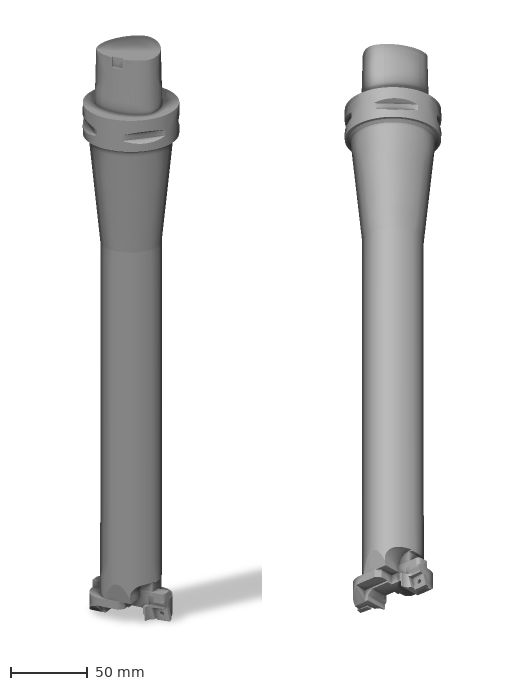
import cadquery as cq
import math

TOTAL_LENGTH = 402.0

SHANK_LENGTH = 38.0
SHANK_WIDTH = 44.2
LOBE_OFFSET = 1.5
SHANK_TAPER = 1 / 20
LOBE_COUNT = 3
FLAT_HALF_ANGLE = 22.5
POINTS_PER_FACE = 12
KEYWAY_WIDTH = 8.0
KEYWAY_HEIGHT = 7.0
KEYWAY_DEPTH = 1.5

FLANGE_DIAMETER = 63.0
FLANGE_HEIGHT = 22.0
GROOVE_COUNT = 4
GROOVE_DEPTH = 3.5
GROOVE_FLOOR_WIDTH = 4.0
GROOVE_MOUTH_WIDTH = 8.5
GROOVE_BELOW_FLANGE_TOP = 12.5

NECK_STEP_DIAMETER = 58.5
NECK_DIAMETER = 55.5
NECK_CHAMFER_HEIGHT = 2.0
NECK_BOTTOM_Z = 265.2
BAR_DIAMETER = 40.0
BAR_END_Z = 15.3

SIDE_FLAT_TOP_Z = 28.5
SIDE_FLAT_DEPTH = 3.0
END_NOTCH_TOP_Z = 27.7
END_NOTCH_X = 17.5
FLUTE_WALL_X = 9.0
FLUTE_FLOOR_Y = 3.5
FLUTE_TOP_Z = 28.5
FLUTE_RADIUS = 8.0

SLIDE_HALF_WIDTH = 17.5
SLIDE_OUTER_X = 26.5
SLIDE_BOTTOM_Z = 1.2
SLIDE_CORNER_RADIUS = 13.0
SLIDE_TOP_Z = 20.5
SLIDE_LEADING_Y = 4.5
SLIDE_OVERREACH = 3.0
SLIDE_END_CHAMFER = 3.2
ARCH_TOP_Z = 8.5
ARCH_HALF_WIDTH = 11.0
LEG_INNER_X = 14.5
LEG_SHOULDER_Z = 5.0
SIDE_SLOPE_TOP_Z = 9.2
UNDERCUT_WALL_X = 17.0
UNDERCUT_WALL_Y = 8.5
UNDERCUT_TOP_Z = 9.5
LEG_BOTTOM_HALF_WIDTH = 8.0
NIB_INNER_X = 13.3
NIB_LEADING_Y = 8.5
CHIP_POCKET_WALL_X = 15.3
CHIP_POCKET_FLOOR_Y = 3.2
CHIP_POCKET_RADIUS = 5.0
CHIP_POCKET_TOP_Z = 11.3
OUTER_ROOF_TOP_Z = 13.5
INNER_ROOF_TOP_Z = 17.5
INNER_ROOF_WIDTH = 3.5
HEAD_CORNER_RADIUS = 3.0

INSERT_THICKNESS = 3.5
INSERT_EDGE = 9.5
INSERT_ANGLE = 80.0
INSERT_TILT = 3.0
INSERT_CLEARANCE = 7.0
INSERT_HOLE_DIAMETER = 3.2
INSERT_INNER_X = 19.3
RAKE_Y = 0.5

FLANGE_TOP_Z = TOTAL_LENGTH - SHANK_LENGTH
FLANGE_BOTTOM_Z = FLANGE_TOP_Z - FLANGE_HEIGHT
FLANGE_RADIUS = FLANGE_DIAMETER / 2
BAR_RADIUS = BAR_DIAMETER / 2
BOTTOM_EDGE_ANGLE = math.radians(INSERT_TILT)
SIDE_EDGE_ANGLE = math.radians(INSERT_TILT + 180 - INSERT_ANGLE)
OVERSIZE = 40.0


def block(x_range, y_range, z_range):
    """A box given by its limits along each axis."""
    limits = (x_range, y_range, z_range)
    sizes = [high - low for low, high in limits]
    return cq.Workplane("XY").box(*sizes, centered=False).translate([low for low, high in limits])


def turned(shape):
    """The same shape on the opposite side of the tool axis."""
    return shape.rotate((0, 0, 0), (0, 0, 1), 180)


def trilobe_point(angle, mean_radius):
    """Point of a constant-width trilobe where the outward normal is at `angle`; one lobe on +Y."""
    phase = LOBE_COUNT * (angle - math.pi / 2)
    support = mean_radius + LOBE_OFFSET * math.cos(phase)
    slope = -LOBE_COUNT * LOBE_OFFSET * math.sin(phase)
    return (
        support * math.cos(angle) - slope * math.sin(angle),
        support * math.sin(angle) + slope * math.cos(angle),
    )


def trilobe_wire(width, z):
    """Closed outline of three flats and three lobes."""
    pitch = 360 / LOBE_COUNT
    half_flat = FLAT_HALF_ANGLE
    edges = []
    for index in range(LOBE_COUNT):
        flat_middle = index * pitch - 90
        for start, end in ((-half_flat, half_flat), (half_flat, pitch - half_flat)):
            points = []
            for step in range(POINTS_PER_FACE + 1):
                angle = flat_middle + start + (end - start) * step / POINTS_PER_FACE
                x, y = trilobe_point(math.radians(angle), width / 2)
                points.append(cq.Vector(x, y, z))
            edges.append(cq.Edge.makeSpline(points))
    return cq.Wire.assembleEdges(edges)


def make_shank():
    top_width = SHANK_WIDTH - SHANK_LENGTH * SHANK_TAPER
    wires = [trilobe_wire(SHANK_WIDTH, FLANGE_TOP_Z), trilobe_wire(top_width, TOTAL_LENGTH)]
    shank = cq.Workplane(cq.Solid.makeLoft(wires, True))
    keyway_floor_y = -(top_width / 2 - LOBE_OFFSET - KEYWAY_DEPTH)
    keyway = block(
        (-KEYWAY_WIDTH / 2, KEYWAY_WIDTH / 2),
        (-OVERSIZE, keyway_floor_y),
        (TOTAL_LENGTH - KEYWAY_HEIGHT, TOTAL_LENGTH),
    )
    return shank.cut(keyway)


def make_turned_body():
    """Flange, tapering neck and cylindrical bar."""
    neck_top_z = FLANGE_BOTTOM_Z - NECK_CHAMFER_HEIGHT
    outline = [
        (0, BAR_END_Z),
        (BAR_RADIUS, BAR_END_Z),
        (BAR_RADIUS, NECK_BOTTOM_Z),
        (NECK_DIAMETER / 2, neck_top_z),
        (NECK_STEP_DIAMETER / 2, FLANGE_BOTTOM_Z),
        (FLANGE_RADIUS, FLANGE_BOTTOM_Z),
        (FLANGE_RADIUS, FLANGE_TOP_Z),
        (0, FLANGE_TOP_Z),
    ]
    return cq.Workplane("XZ").polyline(outline).close().revolve(360, (0, 0, 0), (0, 1, 0))


def make_gripper_groove():
    """Straight groove with sloping sides, across the +X side of the flange."""
    floor_x = FLANGE_RADIUS - GROOVE_DEPTH
    middle_z = FLANGE_TOP_Z - GROOVE_BELOW_FLANGE_TOP
    outline = [
        (floor_x, middle_z - GROOVE_FLOOR_WIDTH / 2),
        (FLANGE_RADIUS, middle_z - GROOVE_MOUTH_WIDTH / 2),
        (FLANGE_RADIUS, middle_z + GROOVE_MOUTH_WIDTH / 2),
        (floor_x, middle_z + GROOVE_FLOOR_WIDTH / 2),
    ]
    return cq.Workplane("XZ").polyline(outline).close().extrude(FLANGE_RADIUS, both=True)


def make_side_flat():
    """Wedge that leaves a tilted flat on the -Y side of the bar end."""
    outline = [
        (-BAR_RADIUS, SIDE_FLAT_TOP_Z),
        (-BAR_RADIUS + SIDE_FLAT_DEPTH, BAR_END_Z),
        (-BAR_RADIUS, BAR_END_Z),
    ]
    return cq.Workplane("YZ").polyline(outline).close().extrude(BAR_RADIUS, both=True)


def make_flute():
    """Round-topped flute in the leading quarter of the bar end."""
    arc_bottom_z = FLUTE_TOP_Z - FLUTE_RADIUS
    arc_end_x = FLUTE_WALL_X + FLUTE_RADIUS
    return (
        cq.Workplane("XZ", origin=(0, -FLUTE_FLOOR_Y, 0))
        .moveTo(FLUTE_WALL_X, BAR_END_Z)
        .lineTo(FLUTE_WALL_X, arc_bottom_z)
        .radiusArc((arc_end_x, FLUTE_TOP_Z), FLUTE_RADIUS)
        .lineTo(OVERSIZE, FLUTE_TOP_Z)
        .lineTo(OVERSIZE, BAR_END_Z)
        .close()
        .extrude(OVERSIZE)
    )


def make_bar():
    bar = make_turned_body().union(make_shank())
    for index in range(GROOVE_COUNT):
        angle = (index + 0.5) * 360 / GROOVE_COUNT
        bar = bar.cut(make_gripper_groove().rotate((0, 0, 0), (0, 0, 1), angle))
    end_notch = block((END_NOTCH_X, OVERSIZE), (-OVERSIZE, OVERSIZE), (BAR_END_Z, END_NOTCH_TOP_Z))
    for cutter in (make_side_flat(), make_flute(), end_notch):
        bar = bar.cut(cutter).cut(turned(cutter))
    return bar


def make_slide_base():
    """Plate under the bar with its leg: arched underneath, sloping at both sides, and undercut
    along the trailing side."""
    arch_profile = [
        (-SLIDE_OVERREACH, BAR_END_Z),
        (-SLIDE_OVERREACH, ARCH_TOP_Z),
        (ARCH_HALF_WIDTH, ARCH_TOP_Z),
        (LEG_INNER_X, LEG_SHOULDER_Z),
        (LEG_INNER_X, SLIDE_BOTTOM_Z),
        (SLIDE_OUTER_X, SLIDE_BOTTOM_Z),
        (SLIDE_OUTER_X, BAR_END_Z),
    ]
    side_profile = [
        (-SLIDE_HALF_WIDTH, BAR_END_Z),
        (-SLIDE_HALF_WIDTH, SIDE_SLOPE_TOP_Z),
        (-LEG_BOTTOM_HALF_WIDTH, SLIDE_BOTTOM_Z),
        (LEG_BOTTOM_HALF_WIDTH, SLIDE_BOTTOM_Z),
        (SLIDE_HALF_WIDTH, SIDE_SLOPE_TOP_Z),
        (SLIDE_HALF_WIDTH, BAR_END_Z),
    ]
    plan = (
        cq.Workplane("XY")
        .moveTo(0, -SLIDE_LEADING_Y)
        .lineTo(0, SLIDE_LEADING_Y)
        .lineTo(-SLIDE_OVERREACH, SLIDE_LEADING_Y)
        .lineTo(-SLIDE_OVERREACH, SLIDE_HALF_WIDTH - SLIDE_END_CHAMFER)
        .lineTo(-SLIDE_OVERREACH + SLIDE_END_CHAMFER, SLIDE_HALF_WIDTH)
        .lineTo(SLIDE_OUTER_X - SLIDE_CORNER_RADIUS, SLIDE_HALF_WIDTH)
        .radiusArc((SLIDE_OUTER_X, SLIDE_HALF_WIDTH - SLIDE_CORNER_RADIUS), SLIDE_CORNER_RADIUS)
        .lineTo(SLIDE_OUTER_X, -SLIDE_LEADING_Y)
        .close()
        .extrude(BAR_END_Z)
    )
    nib = block(
        (NIB_INNER_X, SLIDE_OUTER_X), (-NIB_LEADING_Y, -SLIDE_LEADING_Y), (0, CHIP_POCKET_TOP_Z)
    )
    arch = cq.Workplane("XZ").polyline(arch_profile).close().extrude(SLIDE_HALF_WIDTH, both=True)
    sides = (
        cq.Workplane("YZ", origin=(-SLIDE_OVERREACH, 0, 0))
        .polyline(side_profile)
        .close()
        .extrude(SLIDE_OVERREACH + SLIDE_OUTER_X)
    )
    undercut = block(
        (-SLIDE_OVERREACH, UNDERCUT_WALL_X), (UNDERCUT_WALL_Y, SLIDE_HALF_WIDTH), (0, UNDERCUT_TOP_Z)
    )
    return plan.union(nib).intersect(arch).intersect(sides).cut(undercut)


def make_head():
    """Raised block above the insert, with a thin rib that follows the flute to its wall."""
    head = block(
        (END_NOTCH_X, SLIDE_OUTER_X), (-SLIDE_LEADING_Y, FLUTE_FLOOR_Y), (BAR_END_Z, SLIDE_TOP_Z)
    )
    head = head.edges("|Z and >X and <Y").fillet(HEAD_CORNER_RADIUS)
    rib = block(
        (FLUTE_WALL_X, END_NOTCH_X), (-SLIDE_LEADING_Y, -FLUTE_FLOOR_Y), (BAR_END_Z, SLIDE_TOP_Z)
    )
    return head.union(rib)


def make_roof(length, top_z):
    """Wedge above the chip pocket, sloping up and forward to the leading face at `top_z`."""
    return (
        cq.Workplane("YZ", origin=(CHIP_POCKET_WALL_X, 0, 0))
        .moveTo(-CHIP_POCKET_FLOOR_Y, CHIP_POCKET_TOP_Z)
        .lineTo(-SLIDE_LEADING_Y, top_z)
        .lineTo(-SLIDE_LEADING_Y, CHIP_POCKET_TOP_Z)
        .close()
        .extrude(length)
    )


def make_chip_space():
    """Rounded pocket in front of the insert, under a roof that is steeper near the pocket wall."""
    wall_x = CHIP_POCKET_WALL_X
    outer_roof = make_roof(OVERSIZE, OUTER_ROOF_TOP_Z)
    inner_roof = make_roof(INNER_ROOF_WIDTH, INNER_ROOF_TOP_Z)
    pocket = (
        cq.Workplane("XY")
        .moveTo(wall_x, -OVERSIZE)
        .lineTo(wall_x, -CHIP_POCKET_FLOOR_Y - CHIP_POCKET_RADIUS)
        .radiusArc((wall_x + CHIP_POCKET_RADIUS, -CHIP_POCKET_FLOOR_Y), CHIP_POCKET_RADIUS)
        .lineTo(OVERSIZE, -CHIP_POCKET_FLOOR_Y)
        .lineTo(OVERSIZE, -OVERSIZE)
        .close()
        .extrude(CHIP_POCKET_TOP_Z)
    )
    return pocket.union(outer_roof).union(inner_roof)


def insert_middle():
    """Centre of the insert as X and Z, with its lowest corner resting at Z = 0."""
    half_edge = INSERT_EDGE / 2
    middle_x = INSERT_INNER_X + half_edge * (math.cos(BOTTOM_EDGE_ANGLE) + math.cos(SIDE_EDGE_ANGLE))
    middle_z = half_edge * (math.sin(BOTTOM_EDGE_ANGLE) + math.sin(SIDE_EDGE_ANGLE))
    return middle_x, middle_z


def insert_outline(y, edge):
    """Rhombus of the given edge length, about the insert's centre, in the plane at `y`."""
    middle_x, middle_z = insert_middle()
    corners = []
    for along, up in ((-1, -1), (1, -1), (1, 1), (-1, 1)):
        x = middle_x + edge / 2 * (along * math.cos(BOTTOM_EDGE_ANGLE) + up * math.cos(SIDE_EDGE_ANGLE))
        z = middle_z + edge / 2 * (along * math.sin(BOTTOM_EDGE_ANGLE) + up * math.sin(SIDE_EDGE_ANGLE))
        corners.append(cq.Vector(x, y, z))
    return cq.Wire.makePolygon(corners, close=True)


def make_insert_blank():
    """Insert without its hole, shrinking behind the rake face by the clearance angle."""
    clearance = INSERT_THICKNESS * math.tan(math.radians(INSERT_CLEARANCE))
    back_edge = INSERT_EDGE - 2 * clearance / math.sin(math.radians(INSERT_ANGLE))
    outlines = [
        insert_outline(-RAKE_Y, INSERT_EDGE),
        insert_outline(-RAKE_Y + INSERT_THICKNESS, back_edge),
    ]
    return cq.Workplane(cq.Solid.makeLoft(outlines, True))


def make_insert():
    middle_x, middle_z = insert_middle()
    hole = (
        cq.Workplane("XZ", origin=(middle_x, -RAKE_Y, middle_z))
        .circle(INSERT_HOLE_DIAMETER / 2)
        .extrude(-INSERT_THICKNESS)
    )
    return make_insert_blank().cut(hole)


def make_slide():
    slide = make_slide_base().union(make_head()).cut(make_chip_space())
    rake_opening = cq.Solid.extrudeLinear(
        insert_outline(-RAKE_Y, INSERT_EDGE), [], cq.Vector(0, -OVERSIZE, 0)
    )
    return slide.cut(make_insert_blank()).cut(rake_opening)


bar = make_bar()
slide = make_slide()
insert = make_insert()
slides_and_inserts = []
for body in (slide, insert):
    for copy in (body, turned(body)):
        slides_and_inserts.extend(copy.solids().vals())

result = cq.Compound.makeCompound([*bar.solids().vals(), *slides_and_inserts])